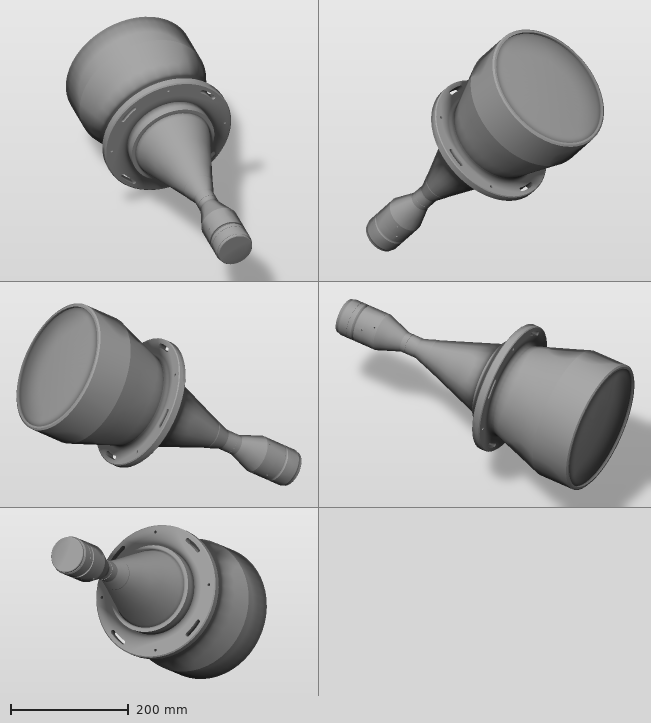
import cadquery as cq
import math


glass_radius = 108.5
glass_seat_depth = 4.5
glass_thickness = 15.0
glass_dome_height = 4.0

barrel_radius = 115.0
barrel_end = 67.0
rim_chamfer_length = 2.0
rim_chamfer_height = 3.0
taper_end = 164.5
taper_end_radius = 83.0

flange_radius = barrel_radius
flange_front = 172.5
flange_back = 187.5
flange_fillet = 5.5
flange_front_chamfer = 1.5
flange_back_chamfer = 2.0
hole_circle_radius = 103.0
slot_count = 4
slot_span_angle = 16.0
slot_width = 7.0
slot_start_angle = 45.0
small_hole_count = 4
small_hole_diameter = 5.0

collar_radius = 75.0
collar_end = 210.0
cone_start_radius = 67.5
cone_band_start = 329.0
cone_band_end = 330.5
cone_band_radius = 26.0
neck_start = 356.5
neck_radius = 17.5
neck_groove_start = 374.5
neck_groove_width = 1.5
neck_groove_depth = 0.5

rear_radius = 33.0
focus_cone_start = 385.5
focus_cone_end = 429.0
front_ring_start = 432.0
rear_ring_start = 452.0
mount_start = 468.5

mount_groove_radius = 30.5
mount_groove_length = 2.0
mount_shoulder_start = 473.5
mount_chamfer_start = 496.5
mount_chamfer_height = 1.5
mount_lip_start = 499.5
mount_lip_radius = 31.0
mount_lip_chamfer = 1.0
mount_end = 504.5

scale_groove_start = 480.5
scale_groove_width = 1.5
scale_groove_depth = 0.5
scale_groove_overrun_angle = 16.0

screw_hole_diameter = 3.0
screw_hole_depth = 5.0
screw_hole_offset = 2.5
screw_hole_count = 3
front_ring_screw_angle = 5.0
rear_ring_screw_angle = 28.0


def turn(outline):
    """Close an outline of axial and radial positions and revolve it about the X axis."""
    return outline.close().revolve(360, (0, 0, 0), (1, 0, 0))


def turned_from_points(points):
    return turn(cq.Workplane("XZ").polyline(points))


def flange_slot(angle):
    """Curved slot cutter through the flange, centred at an angle about the X axis."""
    half_width = slot_width / 2
    half_span = slot_span_angle / 2

    def on_circle(radius, turn_angle):
        radians = math.radians(turn_angle)
        return radius * math.cos(radians), radius * math.sin(radians)

    outer = hole_circle_radius + half_width
    inner = hole_circle_radius - half_width
    middle = hole_circle_radius
    end_angle = half_span + math.degrees(half_width / middle)
    return (
        cq.Workplane("YZ", origin=(flange_front, 0, 0))
        .moveTo(*on_circle(inner, -half_span))
        .threePointArc(on_circle(inner, 0), on_circle(inner, half_span))
        .threePointArc(on_circle(middle, end_angle), on_circle(outer, half_span))
        .threePointArc(on_circle(outer, 0), on_circle(outer, -half_span))
        .threePointArc(on_circle(middle, -end_angle), on_circle(inner, -half_span))
        .close()
        .extrude(flange_back - flange_front)
        .rotate((0, 0, 0), (1, 0, 0), angle)
    )


def flange_small_holes():
    return (
        cq.Workplane("YZ", origin=(flange_front, 0, 0))
        .polarArray(hole_circle_radius, 0, 360, small_hole_count)
        .circle(small_hole_diameter / 2)
        .extrude(flange_back - flange_front)
    )


def make_glass():
    seat = glass_seat_depth
    back = seat + glass_thickness
    dome_sphere_radius = (glass_radius**2 + glass_dome_height**2) / (2 * glass_dome_height)
    half_out = glass_radius / 2
    drop = dome_sphere_radius - math.sqrt(dome_sphere_radius**2 - half_out**2)
    apex = seat - glass_dome_height
    outline = (
        cq.Workplane("XZ")
        .moveTo(apex, 0)
        .threePointArc((apex + drop, half_out), (seat, glass_radius))
        .lineTo(back, glass_radius)
        .lineTo(back, 0)
    )
    return turn(outline)


def make_housing():
    seat_floor = glass_seat_depth + glass_thickness
    fillet_start = flange_front - flange_fillet
    fillet_middle = flange_fillet * math.sqrt(0.5)
    fillet_top = taper_end_radius + flange_fillet
    outline = (
        cq.Workplane("XZ")
        .moveTo(seat_floor, 0)
        .lineTo(seat_floor, glass_radius)
        .lineTo(0, glass_radius)
        .lineTo(0, barrel_radius - rim_chamfer_height)
        .lineTo(rim_chamfer_length, barrel_radius)
        .lineTo(barrel_end, barrel_radius)
        .lineTo(taper_end, taper_end_radius)
        .lineTo(fillet_start, taper_end_radius)
        .threePointArc((fillet_start + fillet_middle, fillet_top - fillet_middle), (flange_front, fillet_top))
        .lineTo(flange_front, flange_radius - flange_front_chamfer)
        .lineTo(flange_front + flange_front_chamfer, flange_radius)
        .lineTo(flange_back - flange_back_chamfer, flange_radius)
        .lineTo(flange_back, flange_radius - flange_back_chamfer)
        .lineTo(flange_back, collar_radius)
        .lineTo(collar_end, collar_radius)
        .lineTo(collar_end, cone_start_radius)
        .lineTo(cone_band_start, cone_band_radius)
        .lineTo(cone_band_end, cone_band_radius)
        .lineTo(neck_start, neck_radius)
        .lineTo(neck_groove_start, neck_radius)
        .lineTo(neck_groove_start, neck_radius - neck_groove_depth)
        .lineTo(neck_groove_start + neck_groove_width, neck_radius - neck_groove_depth)
        .lineTo(neck_groove_start + neck_groove_width, neck_radius)
        .lineTo(focus_cone_start, neck_radius)
        .lineTo(focus_cone_start, 0)
    )
    housing = turn(outline).cut(flange_small_holes())
    for index in range(slot_count):
        housing = housing.cut(flange_slot(slot_start_angle + index * 360 / slot_count))
    return housing


def make_focus_cone():
    return turned_from_points([
        (focus_cone_start, 0),
        (focus_cone_start, neck_radius),
        (focus_cone_end, rear_radius),
        (front_ring_start, rear_radius),
        (front_ring_start, 0),
    ])


def make_locking_ring(start, end, first_screw_angle):
    """Cylindrical ring with evenly spaced radial set screw holes, angled upwards from -Y."""
    ring = cq.Workplane("YZ", origin=(start, 0, 0)).circle(rear_radius).extrude(end - start)
    hole = (
        cq.Workplane("XZ", origin=(start + screw_hole_offset, -rear_radius, 0))
        .circle(screw_hole_diameter / 2)
        .extrude(-screw_hole_depth)
    )
    for index in range(screw_hole_count):
        angle = first_screw_angle + index * 360 / screw_hole_count
        ring = ring.cut(hole.rotate((0, 0, 0), (1, 0, 0), -angle))
    return ring


def scale_groove():
    """Part-ring cutter, half sunk in the mount, running from below -Y over +Z to below +Y."""
    return (
        cq.Workplane("XY")
        .moveTo(scale_groove_start, -rear_radius)
        .rect(scale_groove_width, 2 * scale_groove_depth, centered=(False, True))
        .revolve(180 + 2 * scale_groove_overrun_angle, (0, 0, 0), (-1, 0, 0))
        .rotate((0, 0, 0), (1, 0, 0), scale_groove_overrun_angle)
    )


def make_mount():
    mount = turned_from_points([
        (mount_start, 0),
        (mount_start, mount_groove_radius),
        (mount_start + mount_groove_length, mount_groove_radius),
        (mount_shoulder_start, rear_radius),
        (mount_chamfer_start, rear_radius),
        (mount_lip_start, rear_radius - mount_chamfer_height),
        (mount_lip_start, mount_lip_radius),
        (mount_end - mount_lip_chamfer, mount_lip_radius),
        (mount_end, mount_lip_radius - mount_lip_chamfer),
        (mount_end, 0),
    ])
    return mount.cut(scale_groove())


glass = make_glass()
housing = make_housing()
focus_cone = make_focus_cone()
front_ring = make_locking_ring(front_ring_start, rear_ring_start, front_ring_screw_angle)
rear_ring = make_locking_ring(rear_ring_start, mount_start, rear_ring_screw_angle)
mount = make_mount()

result = cq.Compound.makeCompound([
    glass.val(),
    housing.val(),
    focus_cone.val(),
    front_ring.val(),
    rear_ring.val(),
    mount.val(),
])